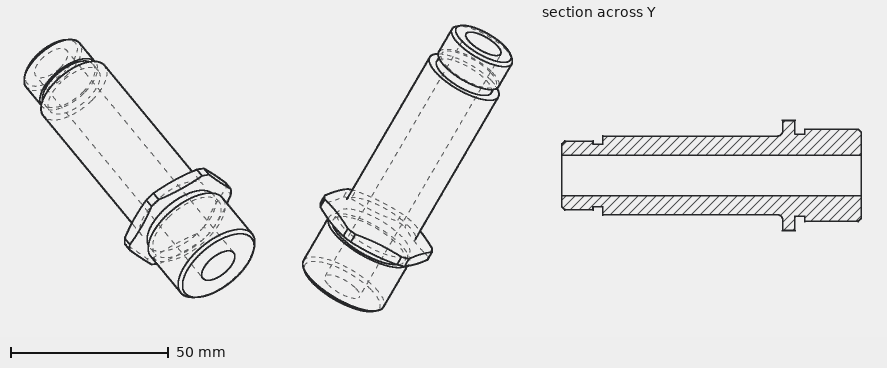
import cadquery as cq
import math

SPIGOT_END = 10.0
BODY_START = 13.0
HEX_START = 70.0
HEX_END = 74.0
HEAD_START = 77.0
TOTAL_LENGTH = 95.0

BORE_DIAMETER = 12.7
SPIGOT_DIAMETER = 22.0
SPIGOT_NECK_DIAMETER = 20.0
BODY_DIAMETER = 25.2
HEAD_NECK_DIAMETER = 26.2
HEAD_DIAMETER = 29.4

HEX_SIDES = 6
HEX_ACROSS_FLATS = 35.0
HEX_CORNER_DIAMETER = 38.72
HEX_CHAMFER_ANGLE = 15.0

END_CHAMFER = 1.0
FLANGE_FILLET = 1.5


def cylinder_between(start, end, diameter):
    """Solid cylinder on the X axis between two stations."""
    return cq.Workplane("YZ", origin=(start, 0, 0)).circle(diameter / 2).extrude(end - start)


def make_spigot():
    """Front spigot with a chamfered mouth and a relief neck behind it."""
    spigot = cylinder_between(0, SPIGOT_END, SPIGOT_DIAMETER).faces("<X").chamfer(END_CHAMFER)
    return spigot.union(cylinder_between(SPIGOT_END, BODY_START, SPIGOT_NECK_DIAMETER))


def make_body():
    """Long barrel whose end flares into the flange with a concave fillet."""
    body_radius = BODY_DIAMETER / 2
    flare_start = HEX_START - FLANGE_FILLET
    flare_radius = body_radius + FLANGE_FILLET
    arc_offset = FLANGE_FILLET * math.cos(math.radians(45))
    return (
        cq.Workplane("XY")
        .moveTo(BODY_START, 0)
        .lineTo(BODY_START, body_radius)
        .lineTo(flare_start, body_radius)
        .threePointArc(
            (flare_start + arc_offset, flare_radius - arc_offset),
            (HEX_START, flare_radius),
        )
        .lineTo(HEX_START, 0)
        .close()
        .revolve(360, (0, 0, 0), (1, 0, 0))
    )


def make_hex_flange():
    """Hexagon with corners on the Y axis, rounded at the corners and coned on both faces."""
    across_corners = HEX_ACROSS_FLATS / math.cos(math.pi / HEX_SIDES)
    prism = (
        cq.Workplane("YZ", origin=(HEX_START, 0, 0))
        .polygon(HEX_SIDES, across_corners)
        .extrude(HEX_END - HEX_START)
    )
    face_radius = HEX_ACROSS_FLATS / 2
    corner_radius = HEX_CORNER_DIAMETER / 2
    chamfer_depth = (corner_radius - face_radius) * math.tan(math.radians(HEX_CHAMFER_ANGLE))
    turned_blank = (
        cq.Workplane("XY")
        .moveTo(HEX_START, 0)
        .lineTo(HEX_START, face_radius)
        .lineTo(HEX_START + chamfer_depth, corner_radius)
        .lineTo(HEX_END - chamfer_depth, corner_radius)
        .lineTo(HEX_END, face_radius)
        .lineTo(HEX_END, 0)
        .close()
        .revolve(360, (0, 0, 0), (1, 0, 0))
    )
    return prism.intersect(turned_blank)


def make_head():
    """Rear head with a chamfered end, joined to the flange by a short neck."""
    head = cylinder_between(HEAD_START, TOTAL_LENGTH, HEAD_DIAMETER).faces(">X").chamfer(END_CHAMFER)
    return head.union(cylinder_between(HEX_END, HEAD_START, HEAD_NECK_DIAMETER))


bore = cylinder_between(0, TOTAL_LENGTH, BORE_DIAMETER)
result = make_spigot().union(make_body()).union(make_hex_flange()).union(make_head()).cut(bore)